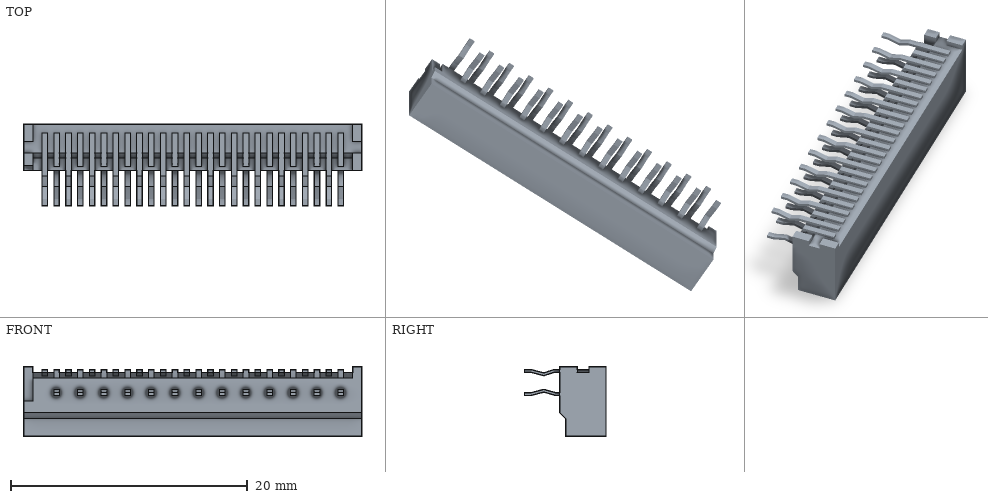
import cadquery as cq


length = 28.6
depth = 3.92
height = 5.9
undercut_depth = 0.5
undercut_height = 1.5

post_width = 0.8
deck_z = 5.4
deck_depth = 2.42
slope_drop = 0.45
ledge_z = deck_z - slope_drop

groove_rear = 1.45
groove_front = deck_depth

notch_depth = 0.43
notch_height = 2.93

terminal_count = 26
pitch = 1.0
terminal_width = 0.48
metal = 0.25
terminal_rear = 0.77
upper_z = 5.65
lower_z = 3.7
short_arm_front = 3.6
tip_y = 6.9
crimp_rise = 0.28
upper_crimp_start = 4.4
lower_crimp_start = 4.27
crimp_peak = 5.26
crimp_end = 6.33


def box(x_min, x_max, rear, front, z_min, z_max):
    """Box placed by its X and Z limits and its distances in front of the rear face."""
    size = (x_max - x_min, front - rear, z_max - z_min)
    return cq.Workplane("XY").box(*size, centered=False).translate((x_min, -front, z_min))


def extrude_along_x(points, width):
    """Extrude a (distance from rear, Z) outline, centred on X = 0."""
    outline = [(-distance, z) for distance, z in points]
    return cq.Workplane("YZ").polyline(outline).close().extrude(width / 2, both=True)


def make_housing():
    lower_depth = depth - undercut_depth
    housing = extrude_along_x(
        [
            (0, 0),
            (lower_depth, 0),
            (lower_depth, undercut_height),
            (depth, undercut_height + undercut_depth),
            (depth, height),
            (0, height),
        ],
        length,
    )
    recess = extrude_along_x(
        [
            (0, height),
            (0, deck_z),
            (deck_depth, deck_z),
            (deck_depth + slope_drop, ledge_z),
            (depth, ledge_z),
            (depth, height),
        ],
        length - 2 * post_width,
    )
    groove = box(-length / 2, length / 2, groove_rear, groove_front, deck_z, height)
    notch = box(
        -length / 2, -length / 2 + post_width,
        depth - notch_depth, depth,
        height - notch_height, height,
    )
    return housing.cut(recess).cut(groove).cut(notch)


def make_crimped_strip(rear, top_z, crimp_start, rise):
    """Flat strip from rear to the tip, bent by rise between crimp_start and crimp_end."""
    top = [
        (rear, top_z),
        (crimp_start, top_z),
        (crimp_peak, top_z + rise),
        (crimp_end, top_z),
        (tip_y, top_z),
    ]
    bottom = [(distance, z - metal) for distance, z in reversed(top)]
    return extrude_along_x(top + bottom, terminal_width)


def make_upper_terminal():
    return make_crimped_strip(terminal_rear, upper_z, upper_crimp_start, -crimp_rise)


def make_lower_terminal():
    """Short arm on the deck, a leg down into the housing and a crimped lower tail."""
    half_width = terminal_width / 2
    leg_rear = short_arm_front - metal
    arm = box(-half_width, half_width, terminal_rear, short_arm_front, upper_z - metal, upper_z)
    leg = box(-half_width, half_width, leg_rear, short_arm_front, lower_z - metal, upper_z)
    tail = make_crimped_strip(leg_rear, lower_z, lower_crimp_start, crimp_rise)
    return arm.union(leg).union(tail)


result = make_housing()
upper_terminal = make_upper_terminal()
lower_terminal = make_lower_terminal()
for index in range(terminal_count):
    x = (index - (terminal_count - 1) / 2) * pitch
    terminal = upper_terminal if index % 2 == 0 else lower_terminal
    result = result.union(terminal.translate((x, 0, 0)))